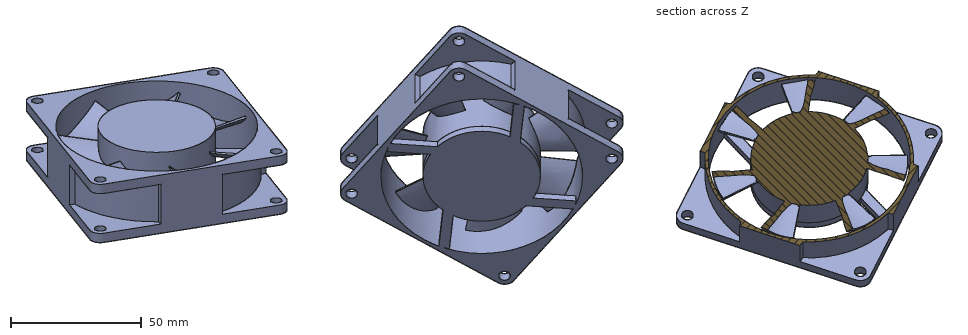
import cadquery as cq
import math

frame_side = 80.0
frame_height = 25.0
corner_radius = 4.25
flange_thickness = 4.0
duct_outer_diameter = frame_side
bore_diameter = 77.2
side_web_width = 25.0
side_web_taper = 10.0

hole_spacing = 71.5
hole_diameter = 4.4

hub_diameter = 45.0
base_thickness = 3.0
strut_count = 4
strut_width = 4.1
strut_offset = 11.15
first_strut_angle = -30.0

blade_count = 7
blade_tip_radius = 37.7
blade_span_angle = 33.5
blade_edge_angle = 180.0
blade_thickness = 1.0
blade_apex_height = 15.5

section_arc_radius = 25.3
section_arc_across = 8.3
section_arc_height = 38.2


def make_struts():
    """Four off-centre bars from the motor base out into the duct wall."""
    wall_middle_radius = (bore_diameter + duct_outer_diameter) / 4
    strut_length = math.sqrt(wall_middle_radius**2 - (strut_offset + strut_width / 2) ** 2)
    strut = (
        cq.Workplane("XY")
        .center(strut_length / 2, strut_offset)
        .rect(strut_length, strut_width)
        .extrude(base_thickness)
    )
    struts = cq.Workplane("XY")
    for index in range(strut_count):
        angle = first_strut_angle + index * 360 / strut_count
        struts = struts.union(strut.rotate((0, 0, 0), (0, 0, 1), angle))
    return struts


def make_web_pair():
    """A bar across the frame, widest in the middle, whose ends are two opposite side webs."""
    end_position = frame_side / 2
    end_half_width = side_web_width / 2
    middle_half_width = end_half_width + end_position * math.tan(math.radians(side_web_taper))
    return (
        cq.Workplane("XY")
        .polyline([
            (end_position, -end_half_width),
            (end_position, end_half_width),
            (0, middle_half_width),
            (-end_position, end_half_width),
            (-end_position, -end_half_width),
            (0, -middle_half_width),
        ])
        .close()
        .extrude(frame_height)
    )


def make_frame():
    """Two square flanges joined by the duct and four side webs, with the motor base."""
    flange = (
        cq.Workplane("XY")
        .rect(frame_side, frame_side)
        .extrude(flange_thickness)
        .edges("|Z")
        .fillet(corner_radius)
    )
    top_flange = flange.translate((0, 0, frame_height - flange_thickness))
    duct = cq.Workplane("XY").circle(duct_outer_diameter / 2).extrude(frame_height)
    web_pair = make_web_pair()
    other_web_pair = web_pair.rotate((0, 0, 0), (0, 0, 1), 90)
    bore = cq.Workplane("XY").circle(bore_diameter / 2).extrude(frame_height)
    holes = (
        cq.Workplane("XY")
        .rect(hole_spacing, hole_spacing, forConstruction=True)
        .vertices()
        .circle(hole_diameter / 2)
        .extrude(frame_height)
    )
    motor_base = cq.Workplane("XY").circle(hub_diameter / 2).extrude(base_thickness)
    webs = web_pair.union(other_web_pair)
    shell = flange.union(top_flange).union(duct).union(webs).cut(bore).cut(holes)
    return shell.union(motor_base).union(make_struts())


def blade_section(distance):
    """Curved blade section in the plane at this distance from the axis, along +X.

    The section shrinks towards a point on the axis, so the blade's edges are radial.
    """
    scale = distance / blade_tip_radius
    half_width = blade_tip_radius * math.tan(math.radians(blade_span_angle / 2))
    outer_radius = section_arc_radius + blade_thickness
    high_angle = -math.pi + math.acos((half_width + section_arc_across) / outer_radius)
    low_angle = -math.acos((half_width - section_arc_across) / section_arc_radius)
    middle_angle = (high_angle + low_angle) / 2

    def arc_point(radius, angle):
        across = section_arc_across + radius * math.cos(angle)
        height = section_arc_height + radius * math.sin(angle)
        return (scale * across, blade_apex_height + scale * (height - blade_apex_height))

    return (
        cq.Workplane("YZ", origin=(distance, 0, 0))
        .moveTo(*arc_point(section_arc_radius, high_angle))
        .threePointArc(
            arc_point(section_arc_radius, middle_angle),
            arc_point(section_arc_radius, low_angle),
        )
        .lineTo(*arc_point(outer_radius, low_angle))
        .threePointArc(
            arc_point(outer_radius, middle_angle),
            arc_point(outer_radius, high_angle),
        )
        .close()
        .wire()
        .val()
    )


def make_blade():
    """One blade along +X, from inside the hub to the tip circle."""
    root_distance = hub_diameter / 2 * math.cos(math.radians(blade_span_angle))
    blade = cq.Solid.makeLoft([blade_section(root_distance), blade_section(blade_tip_radius)], True)
    tip_limit = cq.Workplane("XY").circle(blade_tip_radius).extrude(frame_height)
    return cq.Workplane(blade).intersect(tip_limit)


def make_impeller():
    """Hub resting on the motor base, with a ring of blades."""
    impeller = (
        cq.Workplane("XY")
        .workplane(offset=base_thickness)
        .circle(hub_diameter / 2)
        .extrude(frame_height - base_thickness)
    )
    blade = make_blade()
    for index in range(blade_count):
        angle = blade_edge_angle - blade_span_angle / 2 + index * 360 / blade_count
        impeller = impeller.union(blade.rotate((0, 0, 0), (0, 0, 1), angle))
    return impeller


frame = make_frame()
impeller = make_impeller()

result = cq.Compound.makeCompound([*frame.solids().vals(), *impeller.solids().vals()])